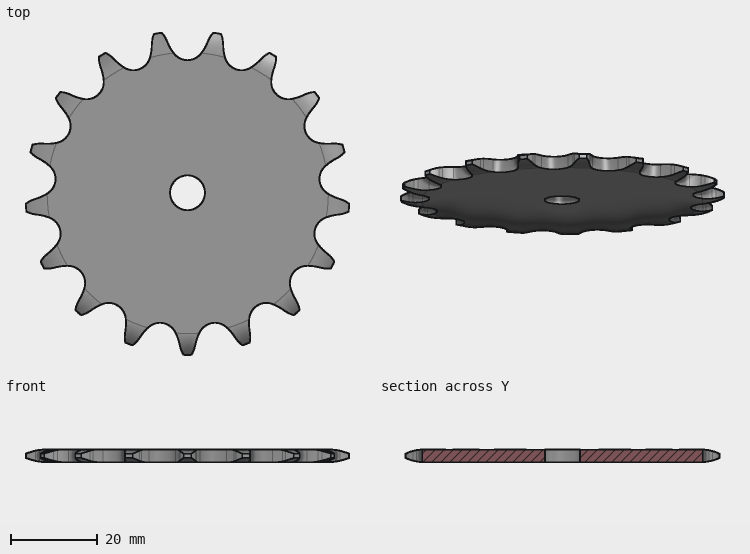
import cadquery as cq
import math

tooth_count = 17
chain_pitch = 12.7
roller_diameter = 7.75
seat_clearance = 0.038
outside_radius = 37.45
plate_thickness = 3.0
bore_diameter = 8.0
relief_start_radius = 32.45
relief_curve_radius = chain_pitch

half_tooth_angle = 180 / tooth_count
seat_half_angle = 90 - (35 + 60 / tooth_count)
working_curve_angle = 18 - 56 / tooth_count
topping_angle = 17 - 64 / tooth_count

pitch_radius = chain_pitch / (2 * math.sin(math.radians(half_tooth_angle)))
seat_radius = 1.005 * roller_diameter / 2 + seat_clearance
working_curve_radius = 1.3025 * roller_diameter + seat_clearance
flank_length = roller_diameter * (
    1.4 * math.sin(math.radians(topping_angle))
    - 0.8 * math.sin(math.radians(working_curve_angle))
)
topping_radius = roller_diameter * (
    0.8 * math.cos(math.radians(working_curve_angle))
    + 1.4 * math.cos(math.radians(topping_angle))
    - 1.3025
) - seat_clearance


def offset(point, distance, angle):
    """Point at a distance from another, along a direction in degrees."""
    direction = math.radians(angle)
    return (
        point[0] + distance * math.cos(direction),
        point[1] + distance * math.sin(direction),
    )


def turn(point, angle):
    """Point turned about the sprocket axis by an angle in degrees."""
    distance = math.hypot(point[0], point[1])
    return offset((0, 0), distance, math.degrees(math.atan2(point[1], point[0])) + angle)


def mirror(point):
    """Point mirrored across the tooth centre line, which lies along +X."""
    return (point[0], -point[1])


def flank_points():
    """Points from the root to the tip, on the -Y flank of a tooth along +X.

    The flank runs through the roller seat arc, the concave working curve,
    a short straight and the convex topping curve. Each arc gives its middle
    and its end.
    """
    root_direction = 180 - half_tooth_angle
    seat_center = offset((0, 0), pitch_radius, -half_tooth_angle)
    seat_end_direction = root_direction - seat_half_angle
    flank_direction = seat_end_direction - working_curve_angle

    root = offset(seat_center, seat_radius, root_direction)
    seat_middle = offset(seat_center, seat_radius, root_direction - seat_half_angle / 2)
    seat_end = offset(seat_center, seat_radius, seat_end_direction)

    working_center = offset(seat_end, -working_curve_radius, seat_end_direction)
    working_middle_direction = seat_end_direction - working_curve_angle / 2
    working_middle = offset(working_center, working_curve_radius, working_middle_direction)
    working_end = offset(working_center, working_curve_radius, flank_direction)

    flank_end = offset(working_end, flank_length, flank_direction - 90)

    topping_center = offset(flank_end, topping_radius, flank_direction)
    center_distance = math.hypot(*topping_center)
    center_direction = math.degrees(math.atan2(topping_center[1], topping_center[0]))
    tip_cosine = (outside_radius**2 + center_distance**2 - topping_radius**2) / (
        2 * outside_radius * center_distance
    )
    tip = offset((0, 0), outside_radius, center_direction - math.degrees(math.acos(tip_cosine)))
    tip_direction = math.degrees(
        math.atan2(tip[1] - topping_center[1], tip[0] - topping_center[0])
    )
    topping_start_direction = flank_direction - 180
    topping_middle_direction = (topping_start_direction + tip_direction) / 2
    topping_middle = offset(topping_center, topping_radius, topping_middle_direction)

    return root, seat_middle, seat_end, working_middle, working_end, flank_end, topping_middle, tip


def toothed_plate():
    """Flat plate with the full tooth outline, one tooth pointing along -Y."""
    rising = flank_points()
    falling = [mirror(point) for point in reversed(rising)]
    first_tooth_angle = -90
    outline = cq.Workplane("XY").workplane(offset=-plate_thickness / 2)
    outline = outline.moveTo(*turn(rising[0], first_tooth_angle))

    for index in range(tooth_count):
        tooth_angle = first_tooth_angle + index * 2 * half_tooth_angle
        up = [turn(point, tooth_angle) for point in rising]
        down = [turn(point, tooth_angle) for point in falling]
        tip_middle = offset((0, 0), outside_radius, tooth_angle)
        outline = (
            outline.threePointArc(up[1], up[2])
            .threePointArc(up[3], up[4])
            .lineTo(*up[5])
            .threePointArc(up[6], up[7])
            .threePointArc(tip_middle, down[0])
            .threePointArc(down[1], down[2])
            .lineTo(*down[3])
            .threePointArc(down[4], down[5])
            .threePointArc(down[6], down[7])
        )

    return outline.close().extrude(plate_thickness)


def relieved_disc():
    """Disc whose two faces curve together toward the outside circle."""

    def face_height(radius):
        run = radius - relief_start_radius
        drop = relief_curve_radius - math.sqrt(relief_curve_radius**2 - run**2)
        return plate_thickness / 2 - drop

    middle_radius = (relief_start_radius + outside_radius) / 2
    half_thickness = plate_thickness / 2
    middle_height = face_height(middle_radius)
    tip_height = face_height(outside_radius)
    return (
        cq.Workplane("XZ")
        .moveTo(0, -half_thickness)
        .lineTo(relief_start_radius, -half_thickness)
        .threePointArc((middle_radius, -middle_height), (outside_radius, -tip_height))
        .lineTo(outside_radius, tip_height)
        .threePointArc((middle_radius, middle_height), (relief_start_radius, half_thickness))
        .lineTo(0, half_thickness)
        .close()
        .revolve(360, (0, 0, 0), (0, 1, 0))
    )


def bore():
    """Cylinder that cuts the central hole through the plate."""
    return cq.Workplane("XY").circle(bore_diameter / 2).extrude(plate_thickness, both=True)


result = toothed_plate().intersect(relieved_disc()).cut(bore())